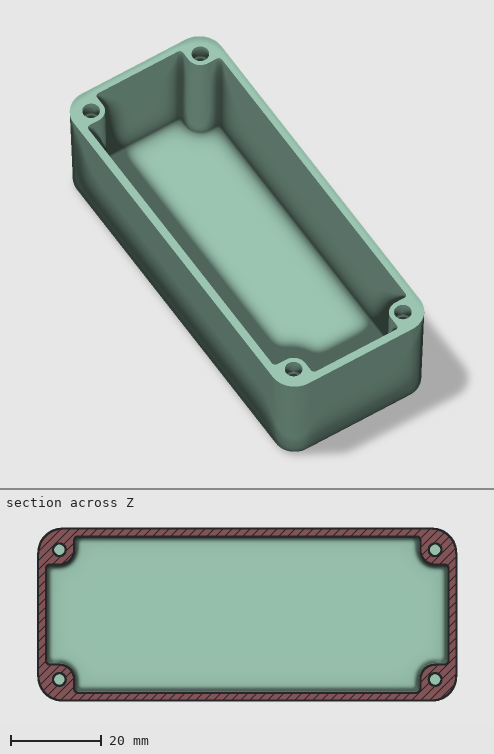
import cadquery as cq
import math

length = 92.6
width = 38.5
height = 27.0

corner_radius = 5.7
bottom_edge_radius = 1.9
wall = 1.85
floor_thickness = 1.7
outer_draft_angle = 1.5
cavity_draft_angle = 1.3
cavity_corner_radius = 0.8
floor_fillet_radius = 0.65

screw_inset = 5.0
boss_radius = 3.1
counterbore_diameter = 3.9
counterbore_depth = 3.7
pilot_diameter = 2.7
pilot_depth = 18.5

cavity_depth = height - floor_thickness
outer_draft_slope = math.tan(math.radians(outer_draft_angle))
cavity_draft_slope = math.tan(math.radians(cavity_draft_angle))
screw_x = length / 2 - screw_inset
screw_y = width / 2 - screw_inset
corner_signs = [(x, y) for x in (-1, 1) for y in (-1, 1)]


def outer_body():
    """Solid block with rounded corners that narrows downward, with a rounded bottom edge."""
    shrink = height * outer_draft_slope
    base = (
        cq.Sketch()
        .rect(length - 2 * shrink, width - 2 * shrink)
        .vertices()
        .fillet(corner_radius - shrink)
    )
    block = cq.Workplane("XY").placeSketch(base).extrude(height, taper=-outer_draft_angle)
    return block.faces("<Z").edges().fillet(bottom_edge_radius)


def boss(sign_x, sign_y):
    """Boss column with one rounded inner corner, centred on the screw; it runs out into the walls."""
    base_radius = boss_radius + cavity_depth * cavity_draft_slope
    side = 4 * base_radius
    centre_shift = side / 2 - base_radius
    base = cq.Sketch().rect(side, side).vertices().fillet(base_radius)
    centre = (
        sign_x * (screw_x + centre_shift),
        sign_y * (screw_y + centre_shift),
        floor_thickness,
    )
    return cq.Workplane("XY", origin=centre).placeSketch(base).extrude(cavity_depth, taper=cavity_draft_angle)


def cavity():
    """Drafted pocket that steps inward around the bosses, with rounded corners and floor edge."""
    pocket = (
        cq.Workplane("XY", origin=(0, 0, height))
        .rect(length - 2 * wall, width - 2 * wall)
        .extrude(-cavity_depth, taper=cavity_draft_angle)
    )
    for signs in corner_signs:
        pocket = pocket.cut(boss(*signs))

    def meets_wall(edge):
        middle = edge.Center()
        return (
            abs(middle.x) > screw_x + cavity_corner_radius
            or abs(middle.y) > screw_y + cavity_corner_radius
        )

    pocket = pocket.edges("not #Z").filter(meets_wall).fillet(cavity_corner_radius)
    return pocket.faces("<Z").edges().fillet(floor_fillet_radius)


def drill_screw_holes(body):
    """Counterbored blind hole down each boss."""
    centres = [(x * screw_x, y * screw_y) for x, y in corner_signs]
    return (
        body.faces(">Z")
        .workplane(origin=(0, 0, height))
        .pushPoints(centres)
        .cboreHole(pilot_diameter, counterbore_diameter, counterbore_depth, pilot_depth)
    )


result = drill_screw_holes(outer_body().cut(cavity()))